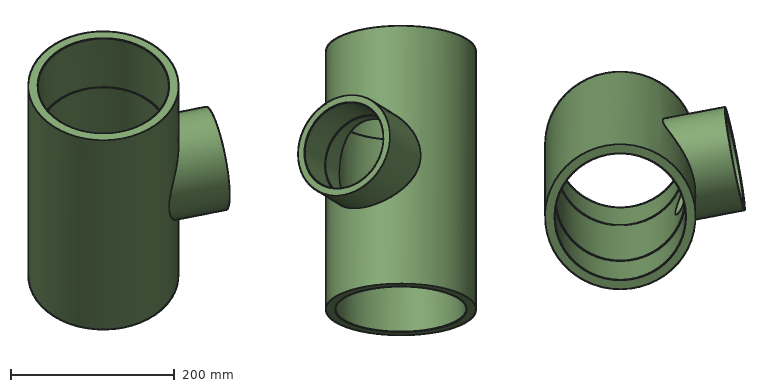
import cadquery as cq

main_length = 336.0
main_outer_diameter = 184.0
main_bore_diameter = 158.0
main_socket_diameter = 160.0
main_socket_depth = 86.0

overall_depth = 235.0
branch_reach = overall_depth - main_outer_diameter / 2
branch_outer_diameter = 129.0
branch_bore_diameter = 108.0
branch_socket_diameter = 110.0
branch_socket_depth = 50.5

mouth_chamfer = 0.7


def main_cylinder(diameter, bottom, height):
    """Upright cylinder on the main axis, starting at height `bottom`."""
    return cq.Workplane("XY").workplane(offset=bottom).circle(diameter / 2).extrude(height)


def branch_cylinder(diameter, start, length):
    """Cylinder on the branch axis, running toward +Y from `start`."""
    return cq.Workplane("XZ").workplane(offset=-start).circle(diameter / 2).extrude(-length)


main_bottom = -main_length / 2
body = main_cylinder(main_outer_diameter, main_bottom, main_length)
body = body.union(branch_cylinder(branch_outer_diameter, 0, branch_reach))

body = body.cut(main_cylinder(main_bore_diameter, main_bottom, main_length))
for socket_bottom in (main_bottom, main_length / 2 - main_socket_depth):
    body = body.cut(main_cylinder(main_socket_diameter, socket_bottom, main_socket_depth))

body = body.cut(branch_cylinder(branch_bore_diameter, 0, branch_reach))
branch_socket_start = branch_reach - branch_socket_depth
body = body.cut(branch_cylinder(branch_socket_diameter, branch_socket_start, branch_socket_depth))

for end_face in (">Z", "<Z", ">Y"):
    mouth_edge = body.faces(end_face).edges(cq.selectors.RadiusNthSelector(0))
    body = mouth_edge.chamfer(mouth_chamfer)

result = body